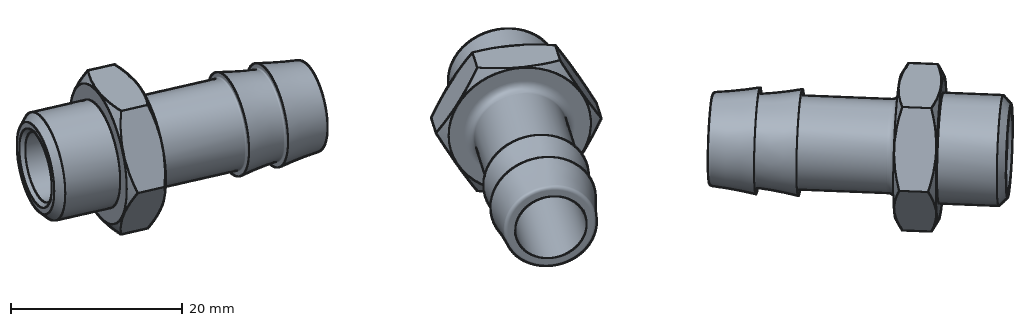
import cadquery as cq
import math

LENGTH = 35.0
THREAD_LENGTH = 7.98
THREAD_RADIUS = 6.5
THREAD_CHAMFER = 0.98

HEX_ACROSS_FLATS = 17.0
HEX_THICKNESS = 5.0
HEX_FACE_RADIUS = 8.45
HEX_CHAMFER_ANGLE = 30.0

STEM_RADIUS = 5.53
NECK_FILLET = 1.0
BARB_RADIUS = 6.25
BARB_HOLLOW = 0.07
BARB_ROOT_FILLET = 0.18
LOWER_BARB_BACK = 24.5
UPPER_BARB_BACK = 29.47
TIP_FILLET = 0.45

BORE_RADIUS = 4.25
BORE_CHAMFER = 0.52

HEX_TOP = THREAD_LENGTH + HEX_THICKNESS
HEX_CORNER_RADIUS = HEX_ACROSS_FLATS / math.sqrt(3)


def revolve_about_y(outline):
    """Close an outline of (radius, height) and turn it about the Y axis."""
    return outline.close().revolve(360, (0, 0, 0), (0, 1, 0))


def add_barb(outline, back, end):
    """Add a filleted root, a flat back and a hollow flank narrowing to the stem radius."""
    return (
        outline.radiusArc((STEM_RADIUS + BARB_ROOT_FILLET, back), BARB_ROOT_FILLET)
        .lineTo(BARB_RADIUS, back)
        .sagittaArc((STEM_RADIUS, end), BARB_HOLLOW)
    )


def make_body():
    """Threaded end, stem with its flared neck, and barbs, as one turned solid."""
    outline = (
        cq.Workplane("XY")
        .lineTo(THREAD_RADIUS - THREAD_CHAMFER, 0)
        .lineTo(THREAD_RADIUS, THREAD_CHAMFER)
        .lineTo(THREAD_RADIUS, HEX_TOP)
        .lineTo(STEM_RADIUS + NECK_FILLET, HEX_TOP)
        .radiusArc((STEM_RADIUS, HEX_TOP + NECK_FILLET), NECK_FILLET)
        .lineTo(STEM_RADIUS, LOWER_BARB_BACK - BARB_ROOT_FILLET)
    )
    outline = add_barb(outline, LOWER_BARB_BACK, UPPER_BARB_BACK - BARB_ROOT_FILLET)
    outline = add_barb(outline, UPPER_BARB_BACK, LENGTH - TIP_FILLET)
    outline = outline.radiusArc((STEM_RADIUS - TIP_FILLET, LENGTH), -TIP_FILLET).lineTo(0, LENGTH)
    return revolve_about_y(outline)


def make_hex():
    """Hexagon with corners on the X axis, its corners chamfered on both faces."""
    prism = (
        cq.Workplane("XZ")
        .polygon(6, 2 * HEX_CORNER_RADIUS)
        .extrude(-HEX_THICKNESS)
        .translate((0, THREAD_LENGTH, 0))
    )
    chamfer_height = (HEX_CORNER_RADIUS - HEX_FACE_RADIUS) * math.tan(math.radians(HEX_CHAMFER_ANGLE))
    envelope = revolve_about_y(
        cq.Workplane("XY")
        .moveTo(0, THREAD_LENGTH)
        .lineTo(HEX_FACE_RADIUS, THREAD_LENGTH)
        .lineTo(HEX_CORNER_RADIUS, THREAD_LENGTH + chamfer_height)
        .lineTo(HEX_CORNER_RADIUS, HEX_TOP - chamfer_height)
        .lineTo(HEX_FACE_RADIUS, HEX_TOP)
        .lineTo(0, HEX_TOP)
    )
    return prism.intersect(envelope)


def make_bore():
    """Through bore, countersunk at the threaded end."""
    return revolve_about_y(
        cq.Workplane("XY")
        .lineTo(BORE_RADIUS + BORE_CHAMFER, 0)
        .lineTo(BORE_RADIUS, BORE_CHAMFER)
        .lineTo(BORE_RADIUS, LENGTH)
        .lineTo(0, LENGTH)
    )


nipple = make_body().union(make_hex()).cut(make_bore())
result = nipple.translate((0, -LENGTH / 2, 0))